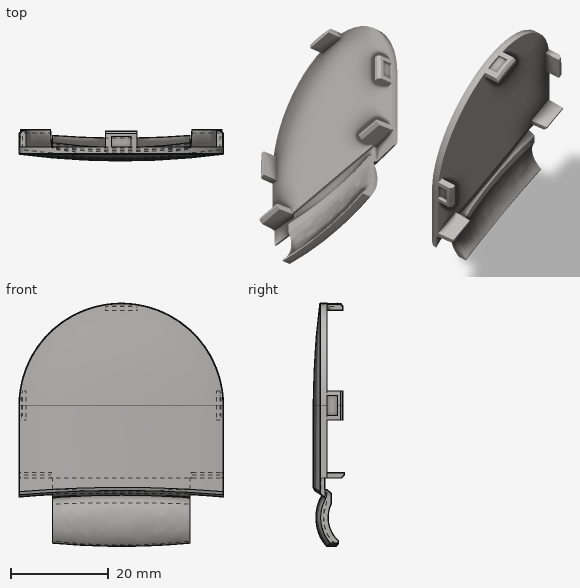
import cadquery as cq
import math


overall_depth = 6.4
overall_height = 49.67

plate_radius = 20.9
rim_thickness = 1.3
crown_inset = 0.1
crown_edge_y = -1.48
crown_peak_y = -2.85
crown_rise = crown_edge_y - crown_peak_y
crown_edge_radius = plate_radius - crown_inset
crown_radius = (crown_edge_radius**2 + crown_rise**2) / (2 * crown_rise)
crown_center_y = crown_peak_y + crown_radius

step_z = -14.85
step_depth = 0.45
plate_bottom_z = -18.7
bottom_slope = 0.64
bottom_chamfer_front = 0.33
bottom_chamfer_under = 0.45

clearance = 1.0
span = 4 * plate_radius

tab_reach = 3.25
tab_thickness = 1.45
top_tab_width = 6.5
side_tab_width = 6.0
tab_chamfer = 0.5
pocket_length = 4.05
pocket_height = 2.1
pocket_depth = 0.7

lug_reach = overall_depth + crown_peak_y
lug_inner_x = 14.2
lug_outer_x = 20.75
lug_side_taper = 0.22
lug_top_z = -13.7
lug_chamfer = 0.65

hook_half_width = 14.05
hook_axis_y = 6.7
hook_axis_z = -22.9
hook_outer_radius = 8.0
hook_inner_radius = 6.45
hook_bulge = 1.0
hook_tip_y = 2.38
hook_tip_y_shift = 0.55
hook_end_bottom_z = -28.12
hook_mid_bottom_z = plate_radius - overall_height
neck_back_y = 0.89
neck_shoulder_z = -17.92
neck_top_y = -0.1
neck_top_z = -17.1
neck_root_y = -0.45
neck_root_rise = 0.05
hook_end_start_z = -18.9
hook_mid_start_z = -18.0


def outline_prism(radius, y_back, y_front):
    """Round-topped outline, open-ended downwards, between two Y levels."""
    bottom_z = plate_bottom_z - clearance
    return (
        cq.Workplane("XZ", origin=(0, y_back, 0))
        .moveTo(-radius, bottom_z)
        .lineTo(-radius, 0)
        .threePointArc((0, radius), (radius, 0))
        .lineTo(radius, bottom_z)
        .close()
        .extrude(y_back - y_front)
    )


def crown():
    """Spherical round end running on into a cylindrical straight part."""
    front = outline_prism(crown_edge_radius, 0, crown_peak_y - clearance)
    center = (0, crown_center_y, 0)
    sphere = cq.Workplane("XY", origin=center).sphere(crown_radius)
    cylinder = cq.Workplane("XY", origin=center).circle(crown_radius).extrude(2 * plate_bottom_z)
    upper_half = cq.Workplane("XY").box(span, span, span, centered=(True, True, False))
    dome = front.intersect(upper_half).intersect(sphere)
    barrel = front.cut(upper_half).intersect(cylinder)
    return dome.union(barrel)


def side_profile(points):
    """Prism across the whole width from (y, z) points."""
    return cq.Workplane("YZ").polyline(points).close().extrude(span / 2, both=True)


def slant_z(y):
    """Height of the slanted lower end at depth y."""
    return plate_bottom_z - bottom_slope * (y + step_depth)


def bottom_trim():
    """Region kept above the slanted lower end, reaching past the plate in front."""
    front_y = 2 * crown_peak_y
    return side_profile(
        [(front_y, plate_radius), (front_y, slant_z(front_y)), (0, slant_z(0)), (0, plate_radius)]
    )


def back_step():
    """Material removed behind the lower end: flat above the hook, parallel to the crown beside it."""
    height = step_z - plate_bottom_z + clearance
    base = cq.Workplane("XY", origin=(0, 0, step_z - height))
    window = base.rect(span, span).extrude(height)
    behind = cq.Workplane("XY").box(span, span, span).translate((0, span / 2 - step_depth, 0))
    flat = window.intersect(behind)
    back_radius = math.hypot(plate_radius, crown_center_y + step_depth)
    curved = base.center(0, crown_center_y).circle(back_radius).extrude(height)
    hook_span = base.rect(2 * hook_half_width, span).extrude(height)
    return flat.union(curved.intersect(window).cut(hook_span))


def plate():
    body = outline_prism(plate_radius, 0, -rim_thickness).union(crown())
    body = body.intersect(bottom_trim())
    front_edge = cq.selectors.NearestToPointSelector((0, crown_peak_y, slant_z(crown_peak_y)))
    body = body.edges(front_edge).chamfer(bottom_chamfer_front, bottom_chamfer_under)
    return body.cut(back_step())


def tab(width, angle):
    """Snap tab facing outwards at an angle about Y, with a blind pocket in its outer face."""
    base = cq.Workplane("XY", origin=(0, -rim_thickness, plate_radius - tab_thickness))
    body = base.box(width, rim_thickness + tab_reach, tab_thickness, centered=(True, False, False))
    body = body.rotate((0, 0, 0), (0, 1, 0), angle)
    envelope = outline_prism(plate_radius, tab_reach, -rim_thickness)
    body = body.intersect(envelope.faces(">Y").chamfer(tab_chamfer))
    pocket = cq.Workplane("XY", origin=(0, 0, plate_radius - pocket_depth))
    pocket = pocket.box(pocket_length, pocket_height, 2 * pocket_depth, centered=(True, False, False))
    return body.cut(pocket.rotate((0, 0, 0), (0, 1, 0), angle))


def lug():
    """Ledge behind the -X lower corner, narrowing to a tip chamfered underneath."""
    body = (
        cq.Workplane("XY", origin=(0, 0, step_z))
        .moveTo(-lug_outer_x, -rim_thickness)
        .lineTo(-lug_outer_x, 0)
        .lineTo(-lug_outer_x + lug_side_taper, lug_reach)
        .lineTo(-lug_inner_x - lug_side_taper, lug_reach)
        .lineTo(-lug_inner_x, 0)
        .lineTo(-lug_inner_x, -rim_thickness)
        .close()
        .extrude(lug_top_z - step_z)
    )
    return body.edges(">Y and <Z").chamfer(lug_chamfer)


def hook_section(x, bulge, tip_y, bottom_z, start_z):
    """Closed wire of the hook and its neck in the plane at x."""
    outer = hook_outer_radius + bulge
    inner = hook_inner_radius + bulge
    back_y = neck_back_y - bulge

    def y_on(radius, z):
        return hook_axis_y - math.sqrt(radius**2 - (z - hook_axis_z) ** 2)

    def z_offset_on(radius, y):
        return math.sqrt(radius**2 - (hook_axis_y - y) ** 2)

    return (
        cq.Workplane("YZ", origin=(x, 0, 0))
        .moveTo(neck_root_y - bulge, start_z + neck_root_rise)
        .lineTo(y_on(outer, start_z), start_z)
        .threePointArc((hook_axis_y - outer, hook_axis_z), (y_on(outer, bottom_z), bottom_z))
        .lineTo(tip_y, bottom_z)
        .lineTo(tip_y, hook_axis_z - z_offset_on(inner, tip_y))
        .threePointArc(
            (hook_axis_y - inner, hook_axis_z),
            (back_y, hook_axis_z + z_offset_on(inner, back_y)),
        )
        .lineTo(back_y, neck_shoulder_z)
        .lineTo(neck_top_y - bulge, neck_top_z)
        .lineTo(neck_root_y - bulge, neck_top_z)
        .close()
        .val()
    )


def hook():
    """Hook lofted through its two ends and its bulging middle."""
    end = (0, hook_tip_y, hook_end_bottom_z, hook_end_start_z)
    middle = (hook_bulge, hook_tip_y - hook_tip_y_shift, hook_mid_bottom_z, hook_mid_start_z)
    sections = [
        hook_section(-hook_half_width, *end),
        hook_section(0, *middle),
        hook_section(hook_half_width, *end),
    ]
    return cq.Workplane(cq.Solid.makeLoft(sections))


result = plate()
result = result.union(tab(top_tab_width, 0))
for side_angle in (-90, 90):
    result = result.union(tab(side_tab_width, side_angle))
result = result.union(lug()).union(lug().mirror("YZ"))
result = result.union(hook())